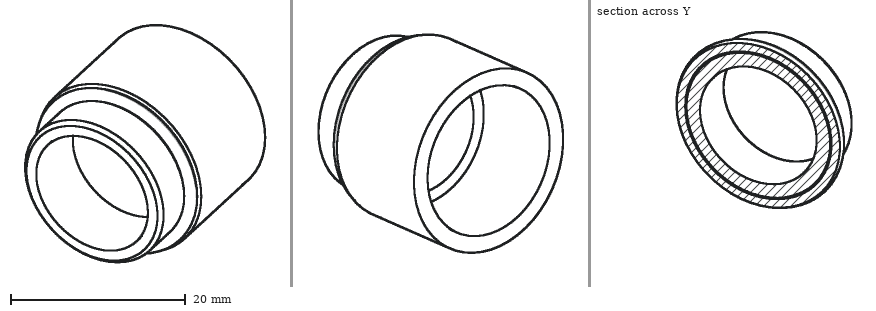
import cadquery as cq

body_diameter = 22.0
total_length = 20.0
body_length = 14.01
spigot_diameter = 18.61
bore_diameter = 15.0
tip_chamfer = 0.5

socket_diameter = 18.0
bore_length = 8.0

ring_section_diameter = 1.5
ring_outer_diameter = 21.47
shoulder_overlap = 0.09

tip_y = -total_length / 2
back_y = total_length / 2
shoulder_y = back_y - body_length
socket_floor_y = tip_y + bore_length


def make_sleeve():
    """Revolve the stepped, bored half-section around the Y axis."""
    body_radius = body_diameter / 2
    spigot_radius = spigot_diameter / 2
    bore_radius = bore_diameter / 2
    socket_radius = socket_diameter / 2
    half_section = [
        (bore_radius, tip_y),
        (spigot_radius - tip_chamfer, tip_y),
        (spigot_radius, tip_y + tip_chamfer),
        (spigot_radius, shoulder_y),
        (body_radius, shoulder_y),
        (body_radius, back_y),
        (socket_radius, back_y),
        (socket_radius, socket_floor_y),
        (bore_radius, socket_floor_y),
    ]
    profile = cq.Workplane("XY").polyline(half_section).close()
    return profile.revolve(360, (0, 0, 0), (0, 1, 0))


def make_ring():
    """Revolve the round ring section around the Y axis."""
    section_radius = ring_section_diameter / 2
    center_radius = ring_outer_diameter / 2 - section_radius
    center_y = shoulder_y - section_radius + shoulder_overlap
    section = cq.Workplane("XY").center(center_radius, center_y).circle(section_radius)
    return section.revolve(360, (-center_radius, 0, 0), (-center_radius, 1, 0))


result = make_sleeve().union(make_ring())